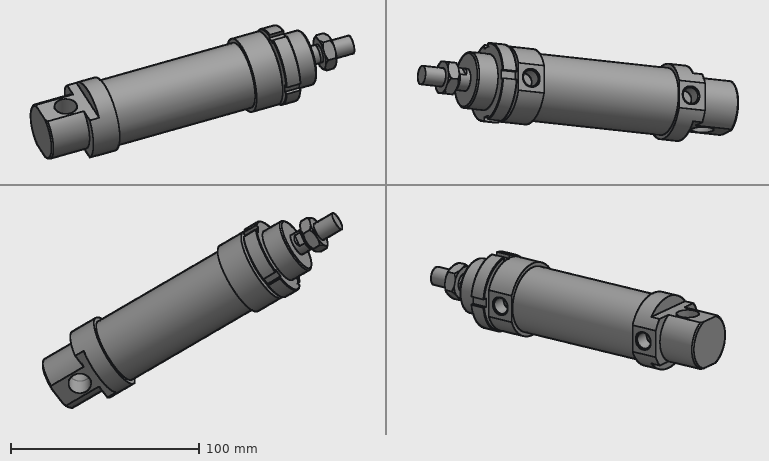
import cadquery as cq
import math

total_length = 179.0
tip_y = total_length / 2
clevis_end_y = -total_length / 2

boss_front_y = tip_y - 26.0
front_cap_front_y = tip_y - 48.0
front_cap_back_y = tip_y - 63.0
rear_cap_front_y = tip_y - 142.1
rear_cap_back_y = tip_y - 157.3
boss_diameter = 30.0
boss_chamfer = 0.8
cap_diameter = 40.5
tube_diameter = 36.0

clevis_thickness = 26.3
clevis_flat_length = 27.0
pivot_diameter = 12.0
pivot_end_distance = 14.3

port_flat_offset = 18.8
port_diameter = 8.8
port_mouth_diameter = 10.0
port_depth = 9.0
port_countersink = (port_mouth_diameter - port_diameter) / 2
front_port_y = (front_cap_front_y + front_cap_back_y) / 2
rear_port_y = tip_y - 149.1

rod_diameter = 12.0
thread_diameter = 10.0
neck_diameter = 8.0
shoulder_y = tip_y - 19.9
rod_inner_y = front_cap_back_y
wrench_width = 10.0
wrench_flat_length = 3.4
wrench_angle = 45.0

nut_front_y = tip_y - 11.8
nut_thickness = 6.3
nut_across_flats = 17.0
nut_corner_diameter = nut_across_flats / math.cos(math.radians(30))
nut_face_diameter = 17.4
nut_chamfer = (nut_corner_diameter - nut_face_diameter) / 2
nut_turn = 15.0

ring_front_y = tip_y - 37.8
ring_thickness = 8.5
ring_width = 41.7
ring_chamfer = 0.4
slot_count = 4
slot_width = 4.7
ring_diameter = math.hypot(ring_width, slot_width)
slot_floor_radius = 18.8

cut_size = 2 * ring_diameter


def cylinder(diameter, start_y, end_y):
    """Solid cylinder on the Y axis, from start_y to end_y (start_y < end_y)."""
    return (cq.Workplane("XZ", origin=(0, end_y, 0))
            .circle(diameter / 2).extrude(end_y - start_y))


def turn(points):
    """Revolve a closed (radius, y) outline about the Y axis."""
    return cq.Workplane("XY").polyline(points).close().revolve(360, (0, 0, 0), (0, 1, 0))


def spin(body, angle):
    """Rotate a body about the Y axis."""
    return body.rotate((0, 0, 0), (0, 1, 0), angle)


def make_port(y):
    """Flat, blind port and countersink to remove from the -X side of a cap."""
    hole_radius = port_diameter / 2
    mouth_radius = port_mouth_diameter / 2
    inner_x = port_depth - port_flat_offset
    profile = [
        (inner_x, y),
        (inner_x, y + hole_radius),
        (-port_flat_offset + port_countersink, y + hole_radius),
        (-port_flat_offset, y + mouth_radius),
        (-port_flat_offset, y),
    ]
    return (cq.Workplane("XY").polyline(profile).close()
            .revolve(360, (0, y, 0), (1, y, 0)))


def make_cap_flat(start_y, end_y):
    """Material outside the port flat of one cap."""
    length = end_y - start_y
    return (cq.Workplane("XY").box(cut_size, length, cut_size)
            .translate((-port_flat_offset - cut_size / 2, (start_y + end_y) / 2, 0)))


def make_cylinder_body():
    boss = cylinder(boss_diameter, clevis_end_y, boss_front_y)
    boss = boss.faces("<Y or >Y").chamfer(boss_chamfer)
    tube = cylinder(tube_diameter, rear_cap_front_y, front_cap_back_y)
    body = boss.union(tube)

    caps = [
        (front_cap_back_y, front_cap_front_y, front_port_y),
        (rear_cap_back_y, rear_cap_front_y, rear_port_y),
    ]
    for start_y, end_y, port_y in caps:
        cap = cylinder(cap_diameter, start_y, end_y)
        body = body.union(cap.cut(make_cap_flat(start_y, end_y)))
        body = body.cut(make_port(port_y))

    for side in (-1, 1):
        flat = cq.Workplane("XY").box(cut_size, clevis_flat_length, cut_size)
        flat_z = side * (clevis_thickness + cut_size) / 2
        body = body.cut(flat.translate((0, clevis_end_y + clevis_flat_length / 2, flat_z)))

    pivot = (cq.Workplane("XY").center(0, clevis_end_y + pivot_end_distance)
             .circle(pivot_diameter / 2).extrude(clevis_thickness, both=True))

    bore = cylinder(rod_diameter, rod_inner_y, boss_front_y)
    return body.cut(pivot).cut(bore)


def make_piston_rod():
    neck_front_y = nut_front_y - nut_thickness
    rod = turn([
        (0, rod_inner_y),
        (rod_diameter / 2, rod_inner_y),
        (rod_diameter / 2, shoulder_y),
        (neck_diameter / 2, shoulder_y),
        (thread_diameter / 2, neck_front_y),
        (thread_diameter / 2, tip_y),
        (0, tip_y),
    ])
    flat_x = wrench_width / 2
    flat_back_y = shoulder_y - wrench_flat_length
    runout = rod_diameter / 2 - flat_x
    flat = (cq.Workplane("XY")
            .polyline([
                (flat_x, shoulder_y),
                (flat_x, flat_back_y),
                (flat_x + runout, flat_back_y - runout),
                (flat_x + runout, shoulder_y),
            ])
            .close().extrude(rod_diameter, both=True))
    for half_turn in (0, 180):
        rod = rod.cut(spin(flat, wrench_angle + half_turn))
    return rod


def make_rod_nut():
    back_y = nut_front_y - nut_thickness
    hexagon = (cq.Workplane("XZ", origin=(0, nut_front_y, 0))
               .polygon(6, nut_corner_diameter).extrude(nut_thickness))
    envelope = cylinder(nut_corner_diameter, back_y, nut_front_y).edges().chamfer(nut_chamfer)
    nut = spin(hexagon, -nut_turn).intersect(envelope)
    return nut.cut(cylinder(thread_diameter, back_y, nut_front_y))


def make_ring_nut():
    back_y = ring_front_y - ring_thickness
    ring = cylinder(ring_diameter, back_y, ring_front_y).edges().chamfer(ring_chamfer)
    ring = ring.cut(cylinder(boss_diameter, back_y, ring_front_y))
    slot = (cq.Workplane("XY").box(cut_size, ring_thickness, slot_width)
            .translate((slot_floor_radius + cut_size / 2, (back_y + ring_front_y) / 2, 0)))
    for index in range(slot_count):
        ring = ring.cut(spin(slot, index * 360 / slot_count))
    return ring


cylinder_body = make_cylinder_body()
piston_rod = make_piston_rod()
rod_nut = make_rod_nut()
ring_nut = make_ring_nut()

result = cq.Compound.makeCompound([
    cylinder_body.val(),
    piston_rod.val(),
    rod_nut.val(),
    ring_nut.val(),
])